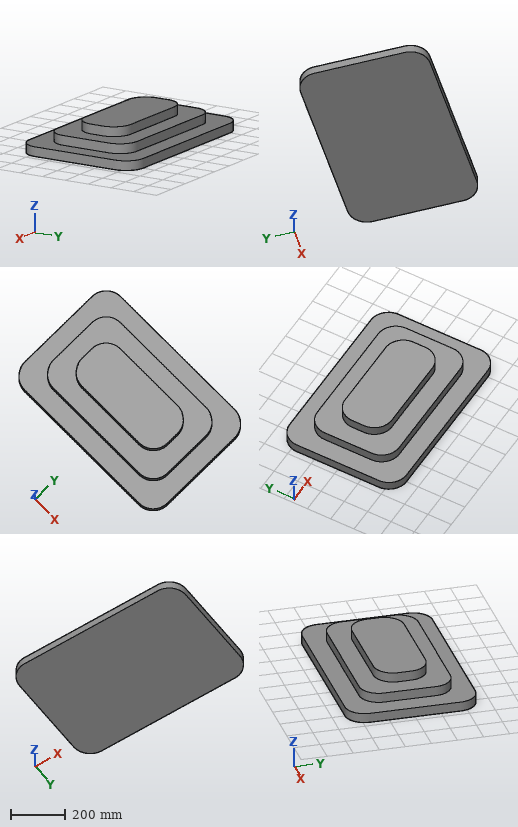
import cadquery as cq

base_length = 750.0
base_width = 500.0
corner_radius = 75.0

tier_count = 3
tier_height = 37.5
ledge_width = 75.0


def make_tier(level):
    """Return one rounded plate, with level 0 at the bottom of the stack."""
    inset = level * ledge_width
    return (
        cq.Workplane("XY", origin=(0, 0, level * tier_height))
        .rect(base_length - 2 * inset, base_width - 2 * inset)
        .extrude(tier_height)
        .edges("|Z")
        .fillet(corner_radius)
    )


result = make_tier(0)
for level in range(1, tier_count):
    result = result.union(make_tier(level))